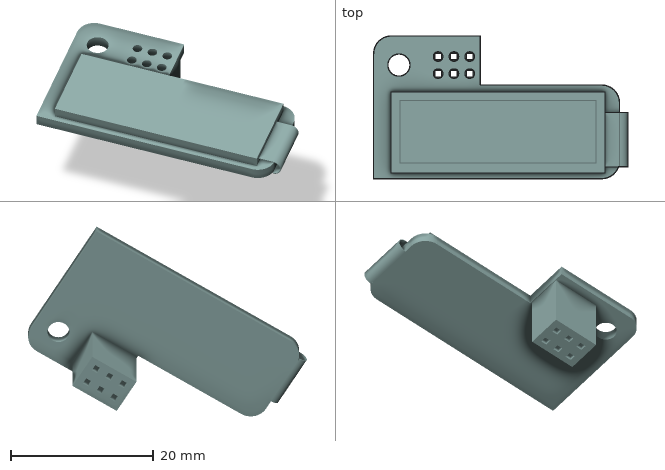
import cadquery as cq

overall_length = 35.73
ribbon_bend_radius = 1.18
board_length = overall_length - ribbon_bend_radius
board_depth = 20.08
board_thickness = 1.65
board_corner_radius = 2.55
tab_length = 15.0
main_depth = 13.2

mount_hole_diameter = 3.07
mount_hole_x = 3.57
mount_hole_y = 15.97

display_x = 2.45
display_y = 0.8
display_length = 30.0
display_depth = 11.45
display_thickness = 1.5

screen_x = 3.7
screen_y = 2.2
screen_length = 27.55
screen_depth = 8.75

header_x = 7.6
header_y = 13.47
header_length = 7.3
header_depth = 5.25
header_height = 8.6

pin_columns = 3
pin_rows = 2
pin_column_pitch = 2.2
pin_row_pitch = 2.4
pin_center_x = 11.3
pin_center_y = mount_hole_y
pin_hole_diameter = 1.35
socket_width = 0.9

ribbon_y = 1.68
ribbon_width = 7.65
ribbon_thickness = 0.1


def block(x, y, z, length, depth, height):
    """Box placed by its lowest corner."""
    return cq.Workplane("XY").box(length, depth, height, centered=False).translate((x, y, z))


def pin_grid():
    return (
        cq.Workplane("XY")
        .center(pin_center_x, pin_center_y)
        .rarray(pin_column_pitch, pin_row_pitch, pin_columns, pin_rows)
    )


def make_board():
    outline = (
        cq.Workplane("XY")
        .polyline([
            (0, 0),
            (board_length, 0),
            (board_length, main_depth),
            (tab_length, main_depth),
            (tab_length, board_depth),
            (0, board_depth),
        ])
        .close()
    )
    board = outline.extrude(board_thickness)
    board = board.edges("|Z and >X").fillet(board_corner_radius)
    board = board.edges("|Z and <X and >Y").fillet(board_corner_radius)
    mount_hole = (
        cq.Workplane("XY")
        .center(mount_hole_x, mount_hole_y)
        .circle(mount_hole_diameter / 2)
        .extrude(board_thickness)
    )
    pin_holes = pin_grid().circle(pin_hole_diameter / 2).extrude(board_thickness)
    return board.cut(mount_hole).cut(pin_holes)


def make_header():
    header = block(header_x, header_y, -header_height, header_length, header_depth, header_height)
    sockets = pin_grid().rect(socket_width, socket_width).extrude(-header_height)
    return header.cut(sockets)


def make_display():
    module = block(
        display_x, display_y, board_thickness,
        display_length, display_depth, display_thickness,
    )
    screen = block(
        screen_x, screen_y, board_thickness,
        screen_length, screen_depth, display_thickness,
    )
    return module.cut(screen).union(screen, clean=False)


def make_ribbon():
    display_end = display_x + display_length
    inner_radius = ribbon_bend_radius - ribbon_thickness
    outer_top = 2 * ribbon_bend_radius
    return (
        cq.Workplane("XZ", origin=(0, ribbon_y, 0))
        .moveTo(display_end, outer_top)
        .lineTo(board_length, outer_top)
        .threePointArc((overall_length, ribbon_bend_radius), (board_length, 0))
        .lineTo(board_length, ribbon_thickness)
        .threePointArc(
            (board_length + inner_radius, ribbon_bend_radius),
            (board_length, outer_top - ribbon_thickness),
        )
        .lineTo(display_end, outer_top - ribbon_thickness)
        .close()
        .extrude(-ribbon_width)
    )


body = make_board().union(make_header()).union(make_ribbon())
result = body.union(make_display(), clean=False)